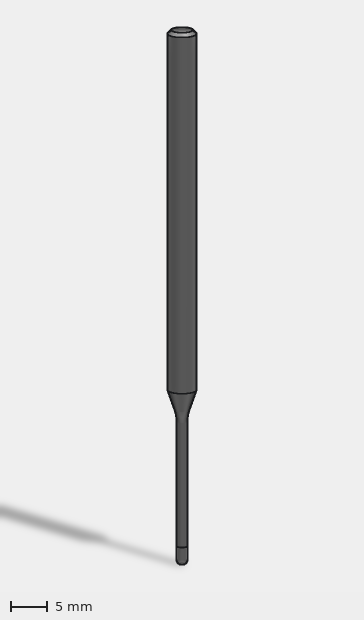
import cadquery as cq
import math


total_length = 75.0
shank_diameter = 4.0
shank_radius = shank_diameter / 2
shank_bottom = 24.5
end_chamfer = 0.5
taper_angle = math.radians(19)
neck_blend_radius = 5.0

neck_diameter = 1.5
neck_radius = neck_diameter / 2
cutter_diameter = 1.6
cutter_radius = cutter_diameter / 2
cutter_length = 2.6

corner_z = shank_bottom - (shank_radius - neck_radius) / math.tan(taper_angle)
tangent_length = neck_blend_radius * math.tan(taper_angle / 2)


def blend_point(angle):
    """Point (radius, Z) on the neck blend, at an angle measured from the neck."""
    radius = neck_radius + neck_blend_radius * (1 - math.cos(angle))
    z = corner_z - tangent_length + neck_blend_radius * math.sin(angle)
    return (radius, z)


def make_shank():
    """Chamfered shank, cone, blend and neck turned as one body."""
    return (
        cq.Workplane("YZ")
        .moveTo(0, cutter_length)
        .lineTo(neck_radius, cutter_length)
        .lineTo(*blend_point(0))
        .threePointArc(blend_point(taper_angle / 2), blend_point(taper_angle))
        .lineTo(shank_radius, shank_bottom)
        .lineTo(shank_radius, total_length - end_chamfer)
        .lineTo(shank_radius - end_chamfer, total_length)
        .lineTo(0, total_length)
        .close()
        .revolve(360, (0, 0, 0), (0, 1, 0))
    )


def make_cutter():
    """Cylindrical cutting head with a hemispherical tip."""
    arc_mid_radius = cutter_radius * math.sin(math.pi / 4)
    arc_mid_z = cutter_radius * (1 - math.cos(math.pi / 4))
    return (
        cq.Workplane("YZ")
        .moveTo(0, 0)
        .threePointArc((arc_mid_radius, arc_mid_z), (cutter_radius, cutter_radius))
        .lineTo(cutter_radius, cutter_length)
        .lineTo(0, cutter_length)
        .close()
        .revolve(360, (0, 0, 0), (0, 1, 0))
    )


shank = make_shank()
cutter = make_cutter()

result = cq.Compound.makeCompound([shank.val(), cutter.val()])